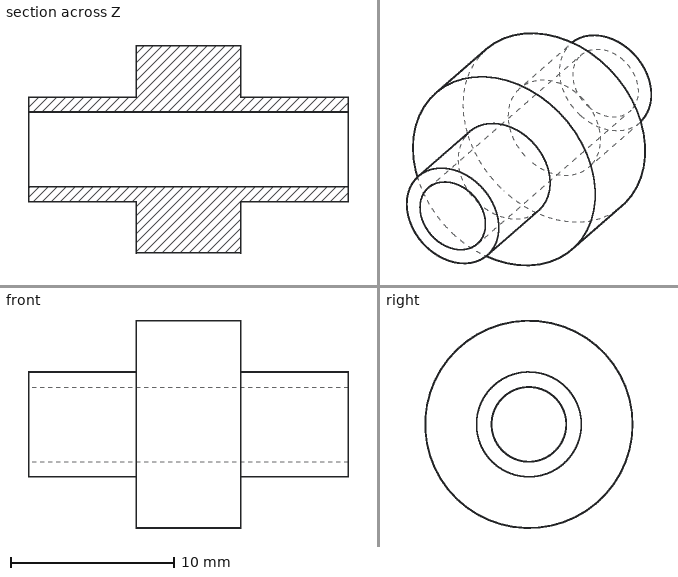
import cadquery as cq

total_length = 19.58
collar_diameter = 12.7
collar_width = 6.42
tube_diameter = 6.42
bore_diameter = 4.56


def centred_cylinder(diameter, length):
    """Cylinder along X, centred on the origin."""
    start_plane = cq.Workplane("YZ", origin=(-length / 2, 0, 0))
    return start_plane.circle(diameter / 2).extrude(length)


tube = centred_cylinder(tube_diameter, total_length)
collar = centred_cylinder(collar_diameter, collar_width)
bore = centred_cylinder(bore_diameter, total_length)

result = tube.union(collar).cut(bore)